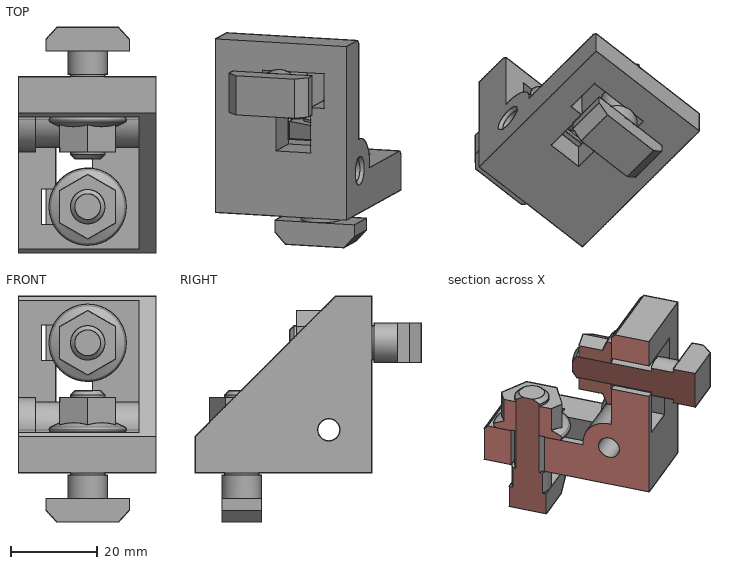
import cadquery as cq
import math

bracket_width = 32.0
leg_length = 41.0
leg_thickness = 9.4
leg_end_height = 8.45
side_plate_thickness = 4.05

tube_offset = 10.0
tube_radius = 6.5
boss_radius = 7.5
boss_length = 4.05
tube_hole_diameter = 5.1
countersink_diameter = 6.65

fastener_x = 16.1
fastener_offset = 30.2
slot_center_x = 12.95
stem_width = 8.5
stem_start = 15.4
cross_slot_length = 15.1
cross_slot_width = 8.2

overall_length = 52.5
bolt_projection = overall_length - leg_length
shank_diameter = 8.0
tip_height = 19.05
tip_chamfer = 1.0
collar_gap = 0.5
collar_diameter = 9.25
head_length = 19.4
head_height = 5.55
head_chamfer_x = 2.55
head_chamfer_z = 2.8

nut_height = 8.1
across_flats = 13.0
flange_radius = 9.0
rim_radius = 0.65
flange_slope = 26.0


def side_profile():
    """Sketch plane across the bracket: first axis +Y, second axis +Z."""
    return cq.Workplane("YZ")


def make_legs():
    outline = [
        (0, 0),
        (0, leg_length),
        (-leg_end_height, leg_length),
        (-leg_length, leg_end_height),
        (-leg_length, 0),
    ]
    block = side_profile().polyline(outline).close().extrude(bracket_width)
    pocket = (
        cq.Workplane("XY")
        .box(bracket_width - side_plate_thickness, leg_length, leg_length, centered=False)
        .translate((0, -leg_thickness - leg_length, leg_thickness))
    )
    return block.cut(pocket)


def make_tube(radius, length):
    """Solid tube blank: a quarter round about the tube axis, with flats running into both legs."""
    crest = tube_offset + radius
    diagonal = tube_offset + radius * math.sqrt(0.5)
    return (
        side_profile()
        .moveTo(-leg_thickness, leg_thickness)
        .lineTo(-leg_thickness, crest)
        .lineTo(-tube_offset, crest)
        .threePointArc((-diagonal, diagonal), (-crest, tube_offset))
        .lineTo(-crest, leg_thickness)
        .close()
        .extrude(length)
    )


def make_tube_hole():
    hole_radius = tube_hole_diameter / 2
    sink_radius = countersink_diameter / 2
    profile = [
        (0, 0),
        (0, sink_radius),
        (sink_radius - hole_radius, hole_radius),
        (bracket_width, hole_radius),
        (bracket_width, 0),
    ]
    return (
        cq.Workplane("XY")
        .polyline(profile)
        .close()
        .revolve(360, (0, 0), (1, 0))
        .translate((0, -tube_offset, tube_offset))
    )


def make_foot_slot():
    stem_length = fastener_offset - stem_start
    stem = (
        cq.Workplane("XY")
        .center(slot_center_x, -(stem_start + stem_length / 2))
        .rect(stem_width, stem_length)
        .extrude(leg_thickness)
    )
    cross = (
        cq.Workplane("XY")
        .center(slot_center_x, -fastener_offset)
        .rect(cross_slot_length, cross_slot_width)
        .extrude(leg_thickness)
    )
    return stem.union(cross)


def make_wall_slot():
    return make_foot_slot().mirror("XZ").rotate((0, 0, 0), (1, 0, 0), 90)


def make_bracket():
    return (
        make_legs()
        .union(make_tube(tube_radius, bracket_width))
        .union(make_tube(boss_radius, boss_length))
        .cut(make_tube_hole())
        .cut(make_foot_slot())
        .cut(make_wall_slot())
    )


def make_bolt():
    """Bolt along +Z, with Z = 0 on the outer face of its leg."""
    half_length = head_length / 2
    head_top = head_height - bolt_projection
    head_outline = [
        (-half_length, head_top),
        (half_length, head_top),
        (half_length, head_chamfer_z - bolt_projection),
        (half_length - head_chamfer_x, -bolt_projection),
        (-half_length + head_chamfer_x, -bolt_projection),
        (-half_length, head_chamfer_z - bolt_projection),
    ]
    head = (
        cq.Workplane("XZ")
        .polyline(head_outline)
        .close()
        .extrude(collar_diameter / 2, both=True)
    )
    collar = (
        cq.Workplane("XY", origin=(0, 0, head_top))
        .circle(collar_diameter / 2)
        .extrude(-collar_gap - head_top)
    )
    shank = (
        cq.Workplane("XY", origin=(0, 0, -collar_gap))
        .circle(shank_diameter / 2)
        .extrude(tip_height + collar_gap)
        .faces(">Z")
        .chamfer(tip_chamfer)
    )
    return head.union(collar).union(shank)


def make_flange():
    """Conical flange with a rounded rim that runs smoothly into the cone."""
    rim_center = flange_radius - rim_radius
    slope = math.radians(flange_slope)
    mid_angle = (math.pi / 2 - slope) / 2

    def rim_point(angle):
        return rim_center + rim_radius * math.cos(angle), rim_radius * (1 + math.sin(angle))

    cone_start = rim_point(math.pi / 2 - slope)
    cone_end_radius = shank_diameter / 2
    cone_end_height = cone_start[1] + (cone_start[0] - cone_end_radius) * math.tan(slope)
    return (
        cq.Workplane("XZ")
        .lineTo(rim_center, 0)
        .threePointArc(rim_point(-math.pi / 4), rim_point(0))
        .threePointArc(rim_point(mid_angle), cone_start)
        .lineTo(cone_end_radius, cone_end_height)
        .lineTo(0, cone_end_height)
        .close()
        .revolve(360, (0, 0), (0, 1))
    )


def make_nut():
    """Nut along +Z, with Z = 0 on its seat and two hexagon corners on the Y axis."""
    across_corners = across_flats / math.cos(math.pi / 6)
    hexagon = (
        cq.Workplane("XY")
        .polygon(6, across_corners)
        .extrude(nut_height)
        .rotate((0, 0, 0), (0, 0, 1), 90)
    )
    bore = cq.Workplane("XY").circle(shank_diameter / 2).extrude(nut_height)
    return hexagon.union(make_flange()).cut(bore)


def place_on_foot(body):
    return body.translate((fastener_x, -fastener_offset, 0))


def place_on_wall(body):
    return body.rotate((0, 0, 0), (1, 0, 0), 90).translate((fastener_x, 0, fastener_offset))


bracket = make_bracket()
bolts = []
nuts = []
for place in (place_on_foot, place_on_wall):
    bolts.append(place(make_bolt()))
    nuts.append(place(make_nut().translate((0, 0, leg_thickness))))

result = cq.Compound.makeCompound([
    bracket.val(),
    *[bolt.val() for bolt in bolts],
    *[nut.val() for nut in nuts],
])